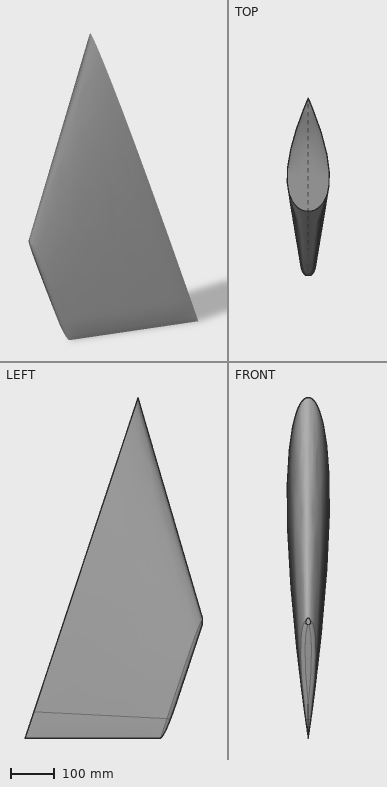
import cadquery as cq
import math

FIN_HEIGHT = 783.48
ROOT_CHORD = 825.5
ROOT_SETBACK = math.sqrt(ROOT_CHORD**2 - FIN_HEIGHT**2)
SPAN = 304.8
TIP_CHORD = 283.3

ROOT_THICKNESS = 97.81
THICKNESS_RATIO = ROOT_THICKNESS / ROOT_CHORD
SECTION_SCALE = 5 * THICKNESS_RATIO
SECTION_TERMS = [(0.2969, 0.5), (-0.1260, 1), (-0.3516, 2), (0.2843, 3), (-0.1036, 4)]
SURFACE_POINTS = 12

ROOT_TAIL_START = 0.922
TIP_TAIL_START = 0.833

CAP_RADIUS = 10.3
NOSE_CORNER_CHAMFER = 8.0
ROUNDING_START = 0.045

ROUNDING_CLEARANCE = 0.02
BLANK_DEPTH = 0.3
TAIL_EXTENSION = 2
CLOSING_EDGES = 2
PRISM_LENGTH = 2 * ROOT_CHORD

TIP_TRAILING = ROOT_CHORD - SPAN * ROOT_SETBACK / FIN_HEIGHT
TIP_LEADING = TIP_TRAILING - TIP_CHORD

ROOT_NOSE = cq.Vector(0, 0, FIN_HEIGHT)
THICKNESS_DIRECTION = cq.Vector(1, 0, 0)
CHORD_DIRECTION = cq.Vector(0, ROOT_SETBACK, -FIN_HEIGHT).normalized()
SPAN_DIRECTION = cq.Vector(0, -FIN_HEIGHT, -ROOT_SETBACK).normalized()


def half_thickness(fraction):
    """Half thickness of the section, per unit chord."""
    return SECTION_SCALE * sum(factor * fraction**power for factor, power in SECTION_TERMS)


def surface_slope(fraction):
    """Rate of change of the half thickness along the chord."""
    return SECTION_SCALE * sum(factor * power * fraction ** (power - 1) for factor, power in SECTION_TERMS)


def fin_outline(tail_start):
    """Nose points from the lower to the upper tail, and the trailing edge, per unit chord."""
    nose = []
    for step in range(-SURFACE_POINTS, SURFACE_POINTS + 1):
        fraction = tail_start * (step / SURFACE_POINTS) ** 2
        nose.append((fraction, math.copysign(half_thickness(fraction), step)))
    return nose, [(1, 0)]


def rounding_outline(tail_start):
    """One flank of the section, run on straight past both its ends and closed behind it."""
    first = math.sqrt(ROUNDING_START)
    last = math.sqrt(tail_start)
    flank_points = []
    for step in range(SURFACE_POINTS + 1):
        fraction = (first + (last - first) * step / SURFACE_POINTS) ** 2
        flank_points.append((fraction, half_thickness(fraction)))
    front_run = (half_thickness(ROUNDING_START) + BLANK_DEPTH) / surface_slope(ROUNDING_START)
    blank_end = 1 + TAIL_EXTENSION * (1 - tail_start)
    corners = [
        (blank_end, -TAIL_EXTENSION * half_thickness(tail_start)),
        (blank_end, -BLANK_DEPTH),
        (ROUNDING_START - front_run, -BLANK_DEPTH),
    ]
    return flank_points, corners


def section(outline, offset, leading, chord, clearance):
    """Closed wire of one unit outline, scaled to its chord and placed along the span."""
    curve, corners = outline
    placed_curve = [(leading + chord * along, chord * height + clearance) for along, height in curve]
    placed_corners = [(leading + chord * along, chord * height + clearance) for along, height in corners]
    spacing = [step / (len(placed_curve) - 1) for step in range(len(placed_curve))]
    plane = cq.Plane(ROOT_NOSE + SPAN_DIRECTION * offset, CHORD_DIRECTION, SPAN_DIRECTION)
    sketch = cq.Workplane(plane).spline(placed_curve, parameters=spacing)
    for corner in placed_corners:
        sketch = sketch.lineTo(*corner)
    return sketch.close().val()


def tapered_body(outline, clearance=0):
    """Ruled body from the root section to the tip section."""
    root = section(outline(ROOT_TAIL_START), 0, 0, ROOT_CHORD, clearance)
    tip = section(outline(TIP_TAIL_START), SPAN, TIP_LEADING, TIP_CHORD, clearance)
    return cq.Workplane(cq.Solid.makeLoft([root, tip], True))


def rounded_flank():
    """Blank bounded by the flank on the +X side and by the rounding from it onto the tip."""
    body = tapered_body(rounding_outline, ROUNDING_CLEARANCE)
    tip_face = body.faces(cq.selectors.DirectionMinMaxSelector(SPAN_DIRECTION, True))
    by_side = sorted(tip_face.edges().vals(), key=lambda edge: edge.Center().x, reverse=True)
    return body.newObject(by_side[:-CLOSING_EDGES]).fillet(CAP_RADIUS)


def nose_corner_blank():
    """Planform prism with the corner of leading edge and tip cut off, oversize elsewhere."""
    plane = cq.Plane(ROOT_NOSE, CHORD_DIRECTION, -THICKNESS_DIRECTION)
    outline = [
        (-TIP_LEADING, -SPAN),
        (TIP_LEADING, SPAN),
        (PRISM_LENGTH, SPAN),
        (PRISM_LENGTH, -SPAN),
    ]
    prism = cq.Workplane(plane).polyline(outline).close().extrude(ROOT_THICKNESS, both=True)
    corner = ROOT_NOSE + CHORD_DIRECTION * TIP_LEADING + SPAN_DIRECTION * SPAN
    corner_edge = prism.edges(cq.selectors.NearestToPointSelector(corner.toTuple()))
    return corner_edge.chamfer(NOSE_CORNER_CHAMFER)


fin = tapered_body(fin_outline)
flank = rounded_flank()
rounded_tip = flank.intersect(flank.mirror("YZ"))
result = fin.intersect(rounded_tip).intersect(nose_corner_blank()).solids()